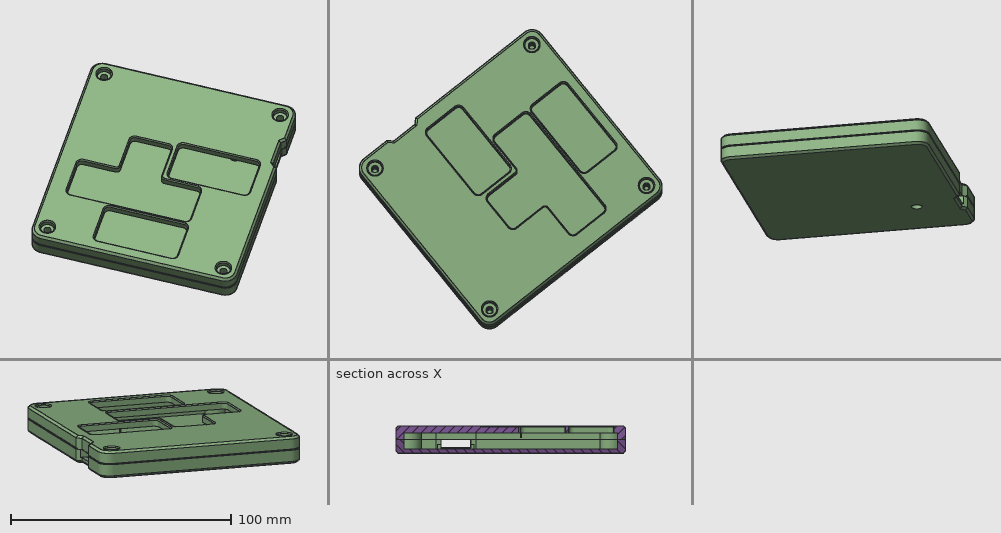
import cadquery as cq
WIDTH = 96.7
LENGTH = 104.4
HEIGHT = 12.5
CORNER_RADIUS = 5.4
RIM_CHAMFER = 1.0
SPLIT_HEIGHT = HEIGHT / 2

SHADOW_GAP = 0.4
SHADOW_DEPTH = 0.5

WALL = 3.8
FLOOR = 2.1
ROOF = 3.2
CAVITY_TOP = HEIGHT - ROOF
CAVITY_RADIUS = CORNER_RADIUS - WALL

SCREW_X = 41.7
SCREW_Y = 45.6
POST_RADIUS = 5.0
CLEARANCE_DIAMETER = 3.2
PILOT_DIAMETER = 2.8
COUNTERBORE_DIAMETER = 6.5
COUNTERBORE_DEPTH = 2.5

WINDOW_RADIUS = 2.3
OPENING_CHAMFER = 0.5
RIGHT_WINDOW = (2.3, 40.7, -2.7, 17.5)
LOWER_WINDOW = (-19.7, 19.5, -46.7, -26.4)
MIDDLE_BAR = (-39.1, 19.3, -24.8, -4.5)
MIDDLE_STEM = (LOWER_WINDOW[0], -0.2, (MIDDLE_BAR[2] + MIDDLE_BAR[3]) / 2, 15.0)
INNER_CORNER_RADIUS = 1.8

PEG_SIDE = 0.5
PEG_X = 19.2
PEG_Y = -4.7
PEG_BOTTOM = 7.2

NOTCH_DEPTH = 2.1
NOTCH_CENTRE_Y = 25.0
NOTCH_FLOOR_LENGTH = 12.3
NOTCH_MOUTH_LENGTH = NOTCH_FLOOR_LENGTH + 2 * NOTCH_DEPTH
PAD_LENGTH = 18.2
PAD_THICKNESS = 1.0
WALL_FACE = WIDTH / 2 - WALL
PAD_FACE = WALL_FACE - PAD_THICKNESS
GUIDE_HEIGHT = 2.1
GUIDE_DEPTH = 0.8
GUIDE_LENGTH = 1.7
CARD_SLOT_LENGTH = 13.4
CARD_SLOT_BOTTOM = 2.6

FLOOR_HOLE_X = 26.5
FLOOR_HOLE_Y = 24.9
FLOOR_HOLE_DIAMETER = 5.0

SCREW_POINTS = [(sx * SCREW_X, sy * SCREW_Y) for sx in (-1, 1) for sy in (-1, 1)]


def block(x_min, x_max, y_min, y_max, z_min, z_max):
    """Return an axis-aligned box given by its limits."""
    corner = cq.Workplane("XY", origin=(x_min, y_min, z_min))
    return corner.box(x_max - x_min, y_max - y_min, z_max - z_min, centered=False)


def make_notch():
    """Return the flared prism that cuts the card notch into the +X side."""
    side = WIDTH / 2
    return (
        cq.Workplane("XY")
        .moveTo(side - NOTCH_DEPTH, NOTCH_CENTRE_Y - NOTCH_FLOOR_LENGTH / 2)
        .lineTo(side, NOTCH_CENTRE_Y - NOTCH_MOUTH_LENGTH / 2)
        .lineTo(side, NOTCH_CENTRE_Y + NOTCH_MOUTH_LENGTH / 2)
        .lineTo(side - NOTCH_DEPTH, NOTCH_CENTRE_Y + NOTCH_FLOOR_LENGTH / 2)
        .close()
        .extrude(HEIGHT)
    )


def make_envelope():
    """Return the solid outer shape of the closed case."""
    blank = (
        cq.Workplane("XY")
        .box(WIDTH, LENGTH, HEIGHT, centered=(True, True, False))
        .edges("|Z")
        .fillet(CORNER_RADIUS)
        .cut(make_notch())
    )
    return blank.faces("<Z or >Z").edges().chamfer(RIM_CHAMFER)


def make_notch_pad():
    """Return the pad that thickens the +X wall behind the notch."""
    half = PAD_LENGTH / 2
    return block(PAD_FACE, WALL_FACE, NOTCH_CENTRE_Y - half, NOTCH_CENTRE_Y + half, FLOOR, CAVITY_TOP)


def make_card_guides():
    """Return the two low blocks that flank the card slot inside the case."""
    guides = cq.Workplane("XY")
    for side in (-1, 1):
        centre_y = NOTCH_CENTRE_Y + side * (CARD_SLOT_LENGTH + GUIDE_LENGTH) / 2
        guide = block(
            PAD_FACE - GUIDE_DEPTH,
            PAD_FACE,
            centre_y - GUIDE_LENGTH / 2,
            centre_y + GUIDE_LENGTH / 2,
            FLOOR,
            FLOOR + GUIDE_HEIGHT,
        )
        guides.add(guide)
    return guides.combine()


def make_cavity():
    """Return the hollow of the closed case, leaving screw posts and the notch pads standing."""
    cavity = (
        cq.Workplane("XY", origin=(0, 0, FLOOR))
        .box(WIDTH - 2 * WALL, LENGTH - 2 * WALL, CAVITY_TOP - FLOOR, centered=(True, True, False))
        .edges("|Z")
        .fillet(CAVITY_RADIUS)
    )
    posts = cq.Workplane("XY").pushPoints(SCREW_POINTS).circle(POST_RADIUS).extrude(HEIGHT)
    return cavity.cut(posts).cut(make_notch_pad()).cut(make_card_guides())


def make_card_slot():
    """Return the slot through the notched wall, open at the top edge of the base."""
    half = CARD_SLOT_LENGTH / 2
    return block(
        PAD_FACE,
        WIDTH / 2,
        NOTCH_CENTRE_Y - half,
        NOTCH_CENTRE_Y + half,
        CARD_SLOT_BOTTOM,
        SPLIT_HEIGHT,
    )


def make_shadow_ring():
    """Return the ring that opens the seam all around the outside of the lid."""
    seam = cq.Workplane("XY", origin=(0, 0, SPLIT_HEIGHT))
    outside = seam.rect(WIDTH, LENGTH).extrude(SHADOW_GAP)
    inside = (
        seam.rect(WIDTH - 2 * SHADOW_DEPTH, LENGTH - 2 * SHADOW_DEPTH)
        .extrude(SHADOW_GAP)
        .edges("|Z")
        .fillet(CORNER_RADIUS - SHADOW_DEPTH)
    )
    return outside.cut(inside)


def window_cutter(window):
    """Return a rounded rectangular prism through the roof."""
    x_min, x_max, y_min, y_max = window
    return block(x_min, x_max, y_min, y_max, CAVITY_TOP, HEIGHT).edges("|Z").fillet(WINDOW_RADIUS)


def middle_window_cutter():
    """Return the T-shaped prism through the roof: a bar and a stem blended at the inner corners."""
    stem_left, stem_right, _, _ = MIDDLE_STEM
    bar_top = MIDDLE_BAR[3]
    inner_corners = cq.selectors.BoxSelector(
        (stem_left - INNER_CORNER_RADIUS, bar_top - INNER_CORNER_RADIUS, CAVITY_TOP),
        (stem_right + INNER_CORNER_RADIUS, bar_top + INNER_CORNER_RADIUS, HEIGHT),
    )
    prism = window_cutter(MIDDLE_BAR).union(window_cutter(MIDDLE_STEM))
    return prism.edges("|Z").edges(inner_corners).fillet(INNER_CORNER_RADIUS)


def make_peg():
    """Return the peg that hangs from the roof."""
    return (
        cq.Workplane("XY", origin=(PEG_X, PEG_Y, PEG_BOTTOM))
        .rect(PEG_SIDE, PEG_SIDE)
        .extrude(CAVITY_TOP - PEG_BOTTOM)
    )


def make_lid(envelope, cavity):
    """Return the upper shell with its windows, peg and counterbored screw holes."""
    upper_half = block(-WIDTH, WIDTH, -LENGTH, LENGTH, SPLIT_HEIGHT, HEIGHT)
    shell = envelope.intersect(upper_half).cut(cavity).cut(make_shadow_ring())
    shell = shell.cut(window_cutter(RIGHT_WINDOW)).cut(window_cutter(LOWER_WINDOW))
    shell = shell.cut(middle_window_cutter()).union(make_peg())
    shell = (
        shell.faces(">Z")
        .workplane(origin=(0, 0, HEIGHT))
        .pushPoints(SCREW_POINTS)
        .cboreHole(CLEARANCE_DIAMETER, COUNTERBORE_DIAMETER, COUNTERBORE_DEPTH)
    )
    opening_rims = [edge for wire in shell.faces(">Z").val().innerWires() for edge in wire.Edges()]
    return shell.newObject(opening_rims).chamfer(OPENING_CHAMFER)


def make_base(envelope, cavity):
    """Return the lower shell with its blind screw holes and floor hole."""
    lower_half = block(-WIDTH, WIDTH, -LENGTH, LENGTH, 0, SPLIT_HEIGHT)
    shell = envelope.intersect(lower_half).cut(cavity).cut(make_card_slot())
    pilots = (
        cq.Workplane("XY", origin=(0, 0, FLOOR))
        .pushPoints(SCREW_POINTS)
        .circle(PILOT_DIAMETER / 2)
        .extrude(SPLIT_HEIGHT - FLOOR)
    )
    floor_hole = (
        cq.Workplane("XY").center(FLOOR_HOLE_X, FLOOR_HOLE_Y).circle(FLOOR_HOLE_DIAMETER / 2).extrude(FLOOR)
    )
    return shell.cut(pilots).cut(floor_hole)


envelope = make_envelope()
cavity = make_cavity()
lid = make_lid(envelope, cavity)
base = make_base(envelope, cavity)

result = cq.Compound.makeCompound([lid.val(), base.val()])